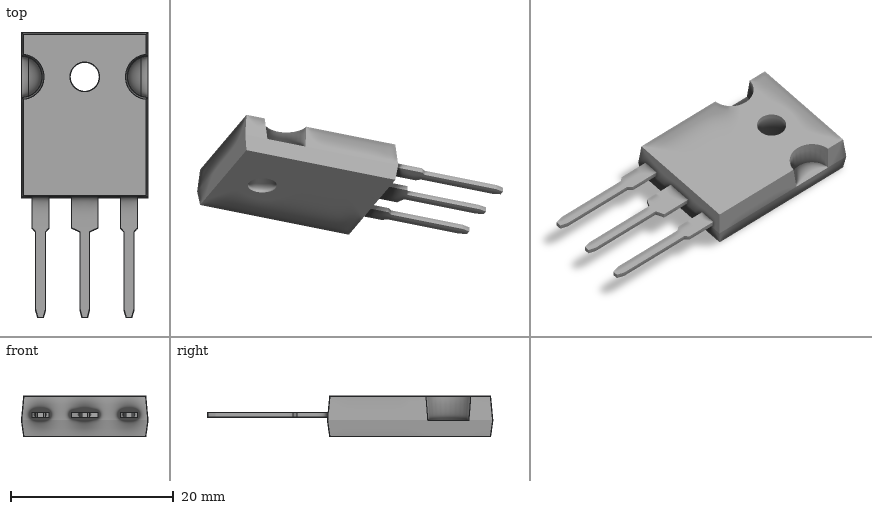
import cadquery as cq
import math

BODY_WIDTH = 15.6
OVERALL_LENGTH = 35.1
BODY_LENGTH = 20.35
OVERALL_HEIGHT = 5.0
LOWER_HEIGHT = 2.0
UPPER_HEIGHT = OVERALL_HEIGHT - LOWER_HEIGHT
FACE_INSET = 0.28
UPPER_DRAFT = math.degrees(math.atan(FACE_INSET / UPPER_HEIGHT))
LOWER_DRAFT = math.degrees(math.atan(FACE_INSET / LOWER_HEIGHT))

HOLE_RADIUS = 1.8
HOLE_FROM_END = 5.48
HOLE_Y = BODY_LENGTH / 2 - HOLE_FROM_END
NOTCH_FLOOR_RADIUS = 2.53
NOTCH_TOP_RADIUS = 2.77

PLATE_WIDTH = 13.83
PLATE_BORDER = (BODY_WIDTH - PLATE_WIDTH) / 2
PLATE_LENGTH = BODY_LENGTH - 2 * PLATE_BORDER

LEAD_PITCH = 5.45
LEAD_THICKNESS = 0.6
LEAD_BOTTOM_Z = 0.4
SIDE_SHOULDER_WIDTH = 2.15
SIDE_PIN_WIDTH = 1.25
CENTRE_SHOULDER_WIDTH = 3.3
CENTRE_PIN_WIDTH = 1.2
LEAD_TIP_WIDTH = 0.7
SHOULDER_LENGTH = 3.72
SHOULDER_TAPER = 0.5
TIP_TAPER = 1.0
BODY_FRONT_Y = -BODY_LENGTH / 2
LEAD_TIP_Y = BODY_LENGTH / 2 - OVERALL_LENGTH


def housing_blank():
    """Two drafted halves that are widest at the parting plane."""
    upper = cq.Workplane("XY").rect(BODY_WIDTH, BODY_LENGTH).extrude(UPPER_HEIGHT, taper=UPPER_DRAFT)
    lower = cq.Workplane("XY").rect(BODY_WIDTH, BODY_LENGTH).extrude(-LOWER_HEIGHT, taper=LOWER_DRAFT)
    return upper.union(lower)


def mounting_hole():
    """Cylinder through the full height."""
    return (
        cq.Workplane("XY", origin=(0, HOLE_Y, -LOWER_HEIGHT))
        .circle(HOLE_RADIUS)
        .extrude(OVERALL_HEIGHT)
    )


def side_notch(side):
    """Cone that opens upward from the parting plane, centred on a side edge."""
    cone = cq.Solid.makeCone(
        NOTCH_FLOOR_RADIUS,
        NOTCH_TOP_RADIUS,
        UPPER_HEIGHT,
        pnt=cq.Vector(side * BODY_WIDTH / 2, HOLE_Y, 0),
    )
    return cq.Workplane(obj=cone)


def plate_block():
    """Plate envelope from the bottom face up to the parting plane."""
    return cq.Workplane("XY").rect(PLATE_WIDTH, PLATE_LENGTH).extrude(-LOWER_HEIGHT)


def make_housing():
    """Moulded housing with its hole, notches and plate recess."""
    housing = housing_blank().cut(mounting_hole()).cut(plate_block())
    for side in (-1, 1):
        housing = housing.cut(side_notch(side))
    return housing


def make_lead(x, shoulder_width, pin_width):
    """Flat lead with a wide shoulder, ending against the drafted housing face."""
    shoulder_end = BODY_FRONT_Y - SHOULDER_LENGTH
    pin_start = shoulder_end - SHOULDER_TAPER
    tip_start = LEAD_TIP_Y + TIP_TAPER
    inner_end = BODY_FRONT_Y + FACE_INSET
    right_edge = [
        (shoulder_width / 2, inner_end),
        (shoulder_width / 2, shoulder_end),
        (pin_width / 2, pin_start),
        (pin_width / 2, tip_start),
        (LEAD_TIP_WIDTH / 2, LEAD_TIP_Y),
    ]
    left_edge = [(-px, py) for px, py in reversed(right_edge)]
    strip = (
        cq.Workplane("XY")
        .polyline(right_edge + left_edge)
        .close()
        .extrude(LEAD_THICKNESS)
        .translate((x, 0, LEAD_BOTTOM_Z))
    )
    return strip.cut(housing_blank())


housing = make_housing()
plate = plate_block().cut(mounting_hole())

lead_sizes = [
    (-LEAD_PITCH, SIDE_SHOULDER_WIDTH, SIDE_PIN_WIDTH),
    (0, CENTRE_SHOULDER_WIDTH, CENTRE_PIN_WIDTH),
    (LEAD_PITCH, SIDE_SHOULDER_WIDTH, SIDE_PIN_WIDTH),
]
leads = [make_lead(*sizes) for sizes in lead_sizes]

result = cq.Compound.makeCompound(
    [housing.solids().val(), plate.solids().val(), *[lead.solids().val() for lead in leads]]
)